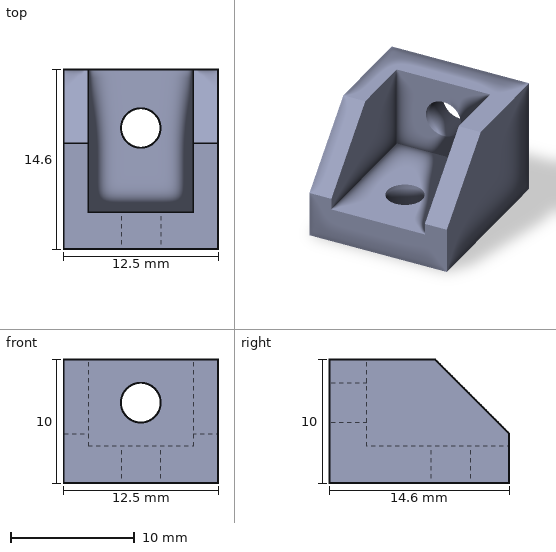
import cadquery as cq

width = 12.5
length = 14.55
height = 10.0
bevel = 6.0

side_wall = 2.0
pocket_width = width - 2 * side_wall
front_wall = 3.0
floor_thickness = 3.0

front_hole_diameter = 3.2
front_hole_height = 6.5
floor_hole_diameter = 3.175
floor_hole_from_rear = 4.75


def make_block():
    """Block with its front face at Y = 0, its base at Z = 0 and centred on X = 0."""
    profile = [
        (0, 0),
        (length, 0),
        (length, height - bevel),
        (length - bevel, height),
        (0, height),
    ]
    return cq.Workplane("YZ").polyline(profile).close().extrude(width / 2, both=True)


def make_pocket():
    """Volume between the side walls, behind the front wall and above the floor."""
    return (
        cq.Workplane("XY")
        .box(pocket_width, length - front_wall, height - floor_thickness, centered=(True, False, False))
        .translate((0, front_wall, floor_thickness))
    )


def make_front_hole():
    """Hole along Y through the front wall into the pocket."""
    return (
        cq.Workplane("XZ")
        .center(0, front_hole_height)
        .circle(front_hole_diameter / 2)
        .extrude(-front_wall)
    )


def make_floor_hole():
    """Hole along Z through the pocket floor."""
    return (
        cq.Workplane("XY")
        .center(0, length - floor_hole_from_rear)
        .circle(floor_hole_diameter / 2)
        .extrude(floor_thickness)
    )


result = make_block().cut(make_pocket()).cut(make_front_hole()).cut(make_floor_hole())